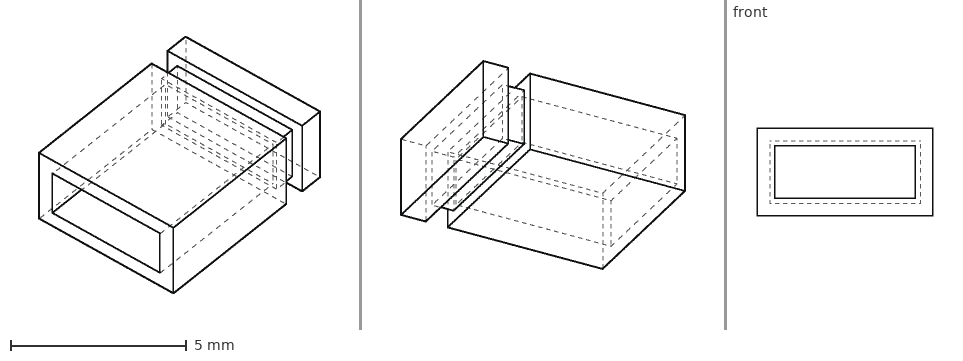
import cadquery as cq

width = 5.0
height = 2.5
total_length = 6.5

sleeve_length = 5.0
cap_length = 0.8
neck_length = total_length - sleeve_length - cap_length

wall = 0.5
neck_inset = 0.365


def centered_block(block_width, block_height, start_y, length):
    """Rectangular block centred on the Y axis, running from start_y toward +Y."""
    return (
        cq.Workplane("XY")
        .box(block_width, length, block_height, centered=(True, False, True))
        .translate((0, start_y, 0))
    )


def make_sleeve():
    """Rectangular tube, open at both ends; the neck closes its rear end."""
    outside = centered_block(width, height, 0, sleeve_length)
    passage = centered_block(width - 2 * wall, height - 2 * wall, 0, sleeve_length)
    return outside.cut(passage)


def make_neck():
    """Narrower block between the sleeve and the cap."""
    return centered_block(
        width - 2 * neck_inset, height - 2 * neck_inset, sleeve_length, neck_length
    )


def make_cap():
    """Plain end plate with the same outline as the sleeve."""
    return centered_block(width, height, sleeve_length + neck_length, cap_length)


sleeve = make_sleeve()
neck = make_neck()
cap = make_cap()

result = cq.Compound.makeCompound([sleeve.val(), neck.val(), cap.val()])